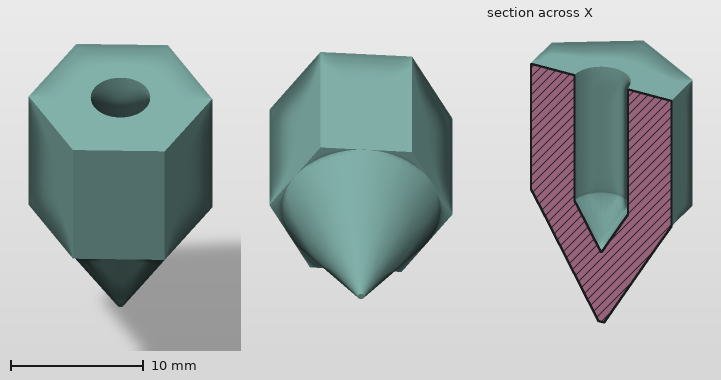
import cadquery as cq
import math

total_height = 21.0
hex_height = 11.0
across_flats = 12.0
tip_diameter = 0.5
hole_diameter = 4.5
hole_depth = hex_height
drill_point_angle = 60.0

across_corners = across_flats / math.cos(math.radians(30))
cone_height = total_height - hex_height
hole_radius = hole_diameter / 2
drill_point_height = hole_radius / math.tan(math.radians(drill_point_angle / 2))


def hexagonal_body():
    """Hexagonal prism with corners on the X axis, standing on the cone."""
    return (
        cq.Workplane("XY")
        .workplane(offset=cone_height)
        .polygon(6, across_corners)
        .extrude(hex_height)
    )


def pointed_end():
    """Cone from the hexagon's inscribed circle down to a small flat tip."""
    return (
        cq.Workplane("XZ")
        .lineTo(tip_diameter / 2, 0)
        .lineTo(across_flats / 2, cone_height)
        .lineTo(0, cone_height)
        .close()
        .revolve(360, (0, 0), (0, 1))
    )


def blind_hole():
    """Drilled hole from the top face, ending in a conical bottom."""
    shoulder_z = total_height - hole_depth
    return (
        cq.Workplane("XZ")
        .moveTo(0, total_height)
        .lineTo(hole_radius, total_height)
        .lineTo(hole_radius, shoulder_z)
        .lineTo(0, shoulder_z - drill_point_height)
        .close()
        .revolve(360, (0, 0), (0, 1))
    )


result = hexagonal_body().union(pointed_end()).cut(blind_hole())